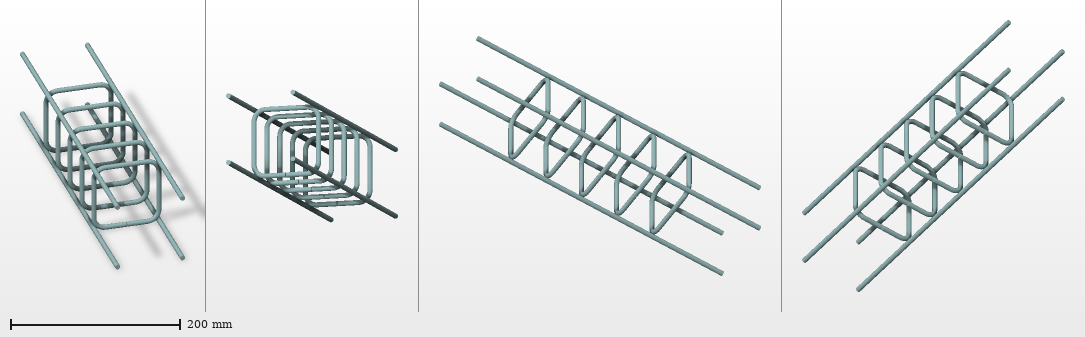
import cadquery as cq
import math

rod_length = 400.0
bar_diameter = 6.0
frame_size = 80.0
bend_radius = 14.0
ring_count = 5
ring_pitch = 50.0
ring_gap = 1.0

bar_radius = bar_diameter / 2
half_frame = frame_size / 2
half_straight = half_frame - bend_radius
half_gap = ring_gap / 2
bend_mid = half_straight + bend_radius * math.cos(math.pi / 4)


def make_rod(y, z):
    """Straight longitudinal rod along X, centred on X = 0."""
    return (
        cq.Workplane("YZ", origin=(-rod_length / 2, 0, 0))
        .center(y, z)
        .circle(bar_radius)
        .extrude(rod_length)
    )


def make_ring(x):
    """Square ring of bent round bar in the YZ plane at x, open at the bottom middle."""
    path = (
        cq.Workplane("YZ", origin=(x, 0, 0))
        .moveTo(half_gap, -half_frame)
        .lineTo(half_straight, -half_frame)
        .threePointArc((bend_mid, -bend_mid), (half_frame, -half_straight))
        .lineTo(half_frame, half_straight)
        .threePointArc((bend_mid, bend_mid), (half_straight, half_frame))
        .lineTo(-half_straight, half_frame)
        .threePointArc((-bend_mid, bend_mid), (-half_frame, half_straight))
        .lineTo(-half_frame, -half_straight)
        .threePointArc((-bend_mid, -bend_mid), (-half_straight, -half_frame))
        .lineTo(-half_gap, -half_frame)
    )
    profile = cq.Workplane("XZ", origin=(x, half_gap, -half_frame)).circle(bar_radius)
    return profile.sweep(path)


rings = [make_ring((i - (ring_count - 1) / 2) * ring_pitch) for i in range(ring_count)]

result = cq.Workplane("XY")
for y in (-half_frame, half_frame):
    for z in (-half_frame, half_frame):
        result = result.union(make_rod(y, z))
for ring in rings:
    result = result.union(ring)